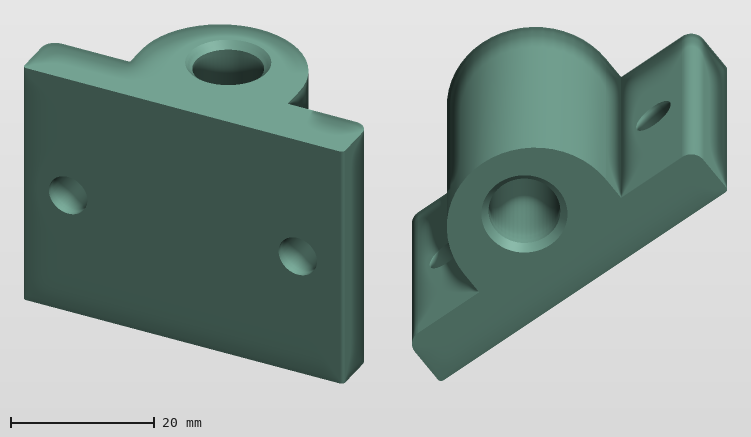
import cadquery as cq

plate_width = 50.0
plate_thickness = 8.0
height = 38.0
outer_corner_radius = 2.1
base_edge_radius = 0.55

total_depth = 23.8
boss_radius = 12.3
boss_center_y = total_depth - boss_radius

bore_diameter = 10.0
bore_center_y = 14.0
bore_chamfer = 1.0

mount_hole_diameter = 6.0
mount_hole_spacing = 35.8


def make_plate():
    plate = cq.Workplane("XY").box(
        plate_width, plate_thickness, height, centered=(True, False, False)
    )
    plate = plate.faces(">Y").edges("|Z").fillet(outer_corner_radius)
    return plate.faces("<Y").edges("|Z").fillet(base_edge_radius)


def make_boss():
    return (
        cq.Workplane("XY")
        .moveTo(-boss_radius, plate_thickness / 2)
        .lineTo(-boss_radius, boss_center_y)
        .threePointArc((0, total_depth), (boss_radius, boss_center_y))
        .lineTo(boss_radius, plate_thickness / 2)
        .close()
        .extrude(height)
    )


def make_bore():
    """Cutter for the bore, flared at both ends to form the entry chamfers."""
    bore_radius = bore_diameter / 2
    mouth_radius = bore_radius + bore_chamfer
    profile = (
        cq.Workplane("XZ")
        .polyline([
            (0, 0),
            (mouth_radius, 0),
            (bore_radius, bore_chamfer),
            (bore_radius, height - bore_chamfer),
            (mouth_radius, height),
            (0, height),
        ])
        .close()
    )
    return profile.revolve(360, (0, 0), (0, 1)).translate((0, bore_center_y, 0))


def make_mount_holes():
    half_spacing = mount_hole_spacing / 2
    return (
        cq.Workplane("XZ")
        .pushPoints([(side * half_spacing, height / 2) for side in (-1, 1)])
        .circle(mount_hole_diameter / 2)
        .extrude(-plate_thickness)
    )


result = make_plate().union(make_boss()).cut(make_bore()).cut(make_mount_holes())